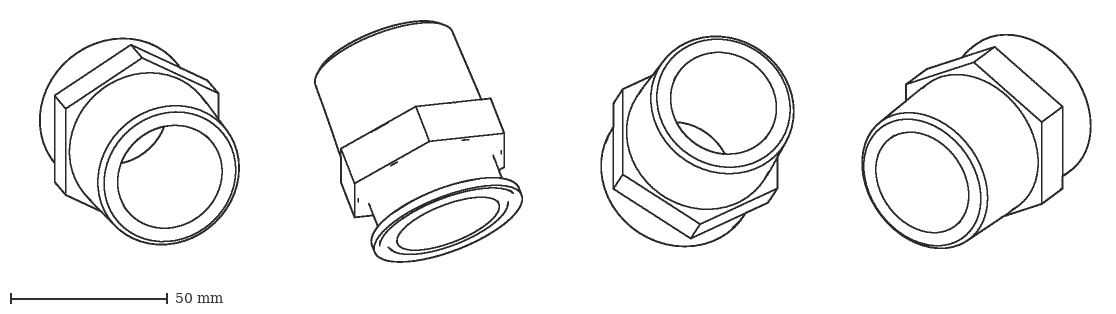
import cadquery as cq
import math


length = 61.9
bore_dia = 34.8

flange_dia = 50.4
flange_rim_width = 2.85
flange_back_angle = 20.0
flange_corner_radius = 0.5
neck_dia = 42.6
neck_fillet_radius = 1.55

groove_mid_dia = 43.65
groove_width = 2.85
groove_depth = 1.55
groove_wall_angle = 20.0
groove_lip_radius = 0.55

hex_start = 17.35
hex_width = 13.4
hex_across_flats = 50.8
hex_chamfer_inset = 1.2
hex_chamfer_angle = 15.0

shank_dia = 48.5
taper_start = 36.0
taper_ratio = 1 / 16
end_chamfer = 1.55

flange_radius = flange_dia / 2
neck_radius = neck_dia / 2
shank_radius = shank_dia / 2
hex_circumscribed_dia = hex_across_flats / math.cos(math.radians(30))
flange_back_width = (flange_radius - neck_radius) * math.tan(math.radians(flange_back_angle))
flange_back_end = flange_rim_width + flange_back_width
tip_radius = shank_radius - taper_ratio / 2 * (length - taper_start)


def circle_edges(solid, x, radius):
    """Circular edges around the part axis at a given place and radius."""
    tolerance = 0.005

    def matches(edge):
        if edge.geomType() != "CIRCLE":
            return False
        return abs(edge.Center().x - x) < tolerance and abs(edge.radius() - radius) < tolerance

    return solid.edges().filter(matches)


def revolve_about_axis(profile):
    """Close a profile and turn it fully around the X axis."""
    return profile.close().revolve(360, (0, 0, 0), (1, 0, 0))


def turned_body():
    """Flange, neck and tapered shank as one solid of revolution."""
    profile = (
        cq.Workplane("XY")
        .moveTo(0, 0)
        .lineTo(0, flange_radius)
        .lineTo(flange_rim_width, flange_radius)
        .lineTo(flange_back_end, neck_radius)
        .lineTo(hex_start, neck_radius)
        .lineTo(hex_start, shank_radius)
        .lineTo(taper_start, shank_radius)
        .lineTo(length, tip_radius)
        .lineTo(length, 0)
    )
    body = revolve_about_axis(profile)
    body = circle_edges(body, flange_rim_width, flange_radius).fillet(flange_corner_radius)
    body = circle_edges(body, flange_back_end, neck_radius).fillet(neck_fillet_radius)
    body = circle_edges(body, hex_start, neck_radius).fillet(neck_fillet_radius)
    return circle_edges(body, length, tip_radius).chamfer(end_chamfer)


def hexagon():
    """Hexagon with corners on +Z and -Z, both ends sloping in along every side."""
    bevel_depth = hex_chamfer_inset * math.tan(math.radians(hex_chamfer_angle))
    bevel_taper = 90 - hex_chamfer_angle
    straight_width = hex_width - 2 * bevel_depth

    def hexagon_outline(x):
        plane = cq.Workplane("YZ", origin=(x, 0, 0)).transformed(rotate=(0, 0, 90))
        return plane.polygon(6, hex_circumscribed_dia)

    straight_start = hex_start + bevel_depth
    straight_end = straight_start + straight_width
    block = hexagon_outline(straight_start).extrude(straight_width)
    block = block.union(hexagon_outline(straight_start).extrude(-bevel_depth, taper=bevel_taper))
    return block.union(hexagon_outline(straight_end).extrude(bevel_depth, taper=bevel_taper))


def gasket_groove(body):
    """Cut the ring groove, with sloped walls and a full round bottom, and round its lips."""
    mid_radius = groove_mid_dia / 2
    half_mouth = groove_width / 2
    wall_angle = math.radians(groove_wall_angle)
    arc_ratio = (1 - math.sin(wall_angle)) / math.cos(wall_angle)
    wall_depth = (groove_depth - arc_ratio * half_mouth) / (1 - arc_ratio * math.tan(wall_angle))
    half_chord = half_mouth - wall_depth * math.tan(wall_angle)

    ring = revolve_about_axis(
        cq.Workplane("XY")
        .moveTo(0, mid_radius - half_mouth)
        .lineTo(wall_depth, mid_radius - half_chord)
        .threePointArc((groove_depth, mid_radius), (wall_depth, mid_radius + half_chord))
        .lineTo(0, mid_radius + half_mouth)
    )
    body = body.cut(ring)
    for lip_radius in (mid_radius - half_mouth, mid_radius + half_mouth):
        body = circle_edges(body, 0, lip_radius).fillet(groove_lip_radius)
    return body


bore = cq.Workplane("YZ").circle(bore_dia / 2).extrude(length)

result = gasket_groove(turned_body().union(hexagon())).cut(bore)